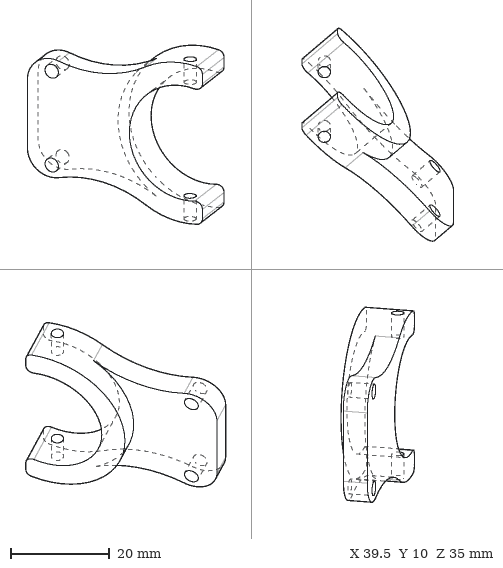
import cadquery as cq
import math

length = 39.5
ring_depth = 10.0
plate_thickness = ring_depth / 2
ring_outer_radius = 17.5
ring_inner_radius = 12.5

ring_end_x = 4.0
tip_fillet = 1.5
pin_hole_diameter = 2.5

plate_left_x = ring_end_x - length
corner_radius = 5.53
corner_x = plate_left_x + corner_radius
corner_z = 7.45
waist_radius = 25.0
mount_hole_diameter = 3.0
mount_hole_spacing = 20.55


def waist_center():
    """Center of the concave arc tangent to the upper plate corner and the ring."""
    to_corner = waist_radius + corner_radius
    to_ring = waist_radius + ring_outer_radius
    span = math.hypot(corner_x, corner_z)
    along = (to_ring**2 - to_corner**2 + span**2) / (2 * span)
    across = math.sqrt(to_ring**2 - along**2)
    unit_x, unit_z = corner_x / span, corner_z / span
    return along * unit_x + across * unit_z, along * unit_z - across * unit_x


def point_toward(start, target, distance):
    """Point at a given distance from start in the direction of target."""
    dx, dz = target[0] - start[0], target[1] - start[1]
    scale = distance / math.hypot(dx, dz)
    return start[0] + dx * scale, start[1] + dz * scale


def midpoint(first, second):
    return (first[0] + second[0]) / 2, (first[1] + second[1]) / 2


def mirrored(point):
    return point[0], -point[1]


def front_workplane():
    """XZ plane at the front face; extruding by a negative depth goes toward +Y."""
    return cq.Workplane("XZ")


def make_ring():
    ring = front_workplane().circle(ring_outer_radius).extrude(-ring_depth)
    open_side = (
        front_workplane()
        .rect(ring_outer_radius, 2 * ring_outer_radius)
        .extrude(-ring_depth)
        .translate((ring_end_x + ring_outer_radius / 2, 0, 0))
    )
    return ring.cut(open_side)


def make_plate():
    center = waist_center()
    corner = (corner_x, corner_z)
    corner_end = point_toward(corner, center, corner_radius)
    ring_start = point_toward((0, 0), center, ring_outer_radius)
    corner_start = (plate_left_x, corner_z)
    corner_middle = point_toward(corner, midpoint(corner_start, corner_end), corner_radius)
    waist_middle = point_toward(center, midpoint(corner_end, ring_start), waist_radius)
    return (
        front_workplane()
        .moveTo(*corner_start)
        .threePointArc(corner_middle, corner_end)
        .threePointArc(waist_middle, ring_start)
        .lineTo(*mirrored(ring_start))
        .threePointArc(mirrored(waist_middle), mirrored(corner_end))
        .threePointArc(mirrored(corner_middle), mirrored(corner_start))
        .close()
        .extrude(-plate_thickness)
    )


bore = front_workplane().circle(ring_inner_radius).extrude(-ring_depth)

mount_holes = (
    front_workplane()
    .pushPoints([(corner_x, side * mount_hole_spacing / 2) for side in (-1, 1)])
    .circle(mount_hole_diameter / 2)
    .extrude(-plate_thickness)
)

pin_hole = (
    cq.Workplane("XY")
    .center(0, plate_thickness / 2)
    .circle(pin_hole_diameter / 2)
    .extrude(ring_outer_radius, both=True)
)

body = make_ring().union(make_plate()).cut(bore)
body = body.faces(">X").edges("|Y").fillet(tip_fillet)
result = body.cut(mount_holes).cut(pin_hole)